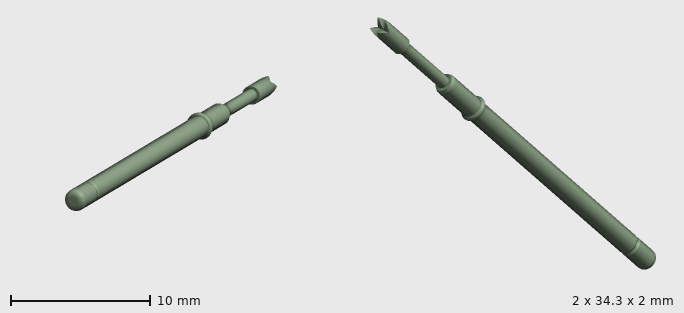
import cadquery as cq
import math

total_length = 34.3
tail_y = -total_length / 2
tip_y = total_length / 2

head_diameter = 1.37
head_length = 3.02
shaft_diameter = 0.95
crown_depth = 0.72

barrel_diameter = 1.6
barrel_length = 26.0
mouth_chamfer_length = 0.27
mouth_chamfer_depth = 0.1
tail_fillet = 0.45

ring_diameter = 2.0
ring_width = 0.48
ring_from_tip = 11.85

crimp_from_tail = 2.55
crimp_width = 0.4
crimp_depth = 0.15

barrel_radius = barrel_diameter / 2
mouth_y = tail_y + barrel_length
head_y = tip_y - head_length


def rod(diameter, start_y, end_y):
    """Round bar on the Y axis."""
    bar = cq.Workplane("XZ", origin=(0, start_y, 0)).circle(diameter / 2)
    return bar.extrude(start_y - end_y)


def make_barrel():
    """Tube body with a chamfered mouth, a rounded tail and a V-shaped crimp."""
    crimp_y = tail_y + crimp_from_tail
    fillet_middle = tail_fillet * (1 - math.sqrt(0.5))
    profile = (
        cq.Workplane("XY")
        .moveTo(0, tail_y)
        .lineTo(barrel_radius - tail_fillet, tail_y)
        .threePointArc(
            (barrel_radius - fillet_middle, tail_y + fillet_middle),
            (barrel_radius, tail_y + tail_fillet),
        )
        .lineTo(barrel_radius, crimp_y - crimp_width / 2)
        .lineTo(barrel_radius - crimp_depth, crimp_y)
        .lineTo(barrel_radius, crimp_y + crimp_width / 2)
        .lineTo(barrel_radius, mouth_y - mouth_chamfer_length)
        .lineTo(barrel_radius - mouth_chamfer_depth, mouth_y)
        .lineTo(0, mouth_y)
        .close()
    )
    return profile.revolve(360, (0, 0, 0), (0, 1, 0))


def make_ring():
    """Press ring bulging from the barrel in a round arc."""
    ring_front_y = tip_y - ring_from_tip - ring_width
    ring_back_y = tip_y - ring_from_tip
    profile = (
        cq.Workplane("XY")
        .moveTo(0, ring_front_y)
        .lineTo(barrel_radius, ring_front_y)
        .threePointArc(
            (ring_diameter / 2, (ring_front_y + ring_back_y) / 2),
            (barrel_radius, ring_back_y),
        )
        .lineTo(0, ring_back_y)
        .close()
    )
    return profile.revolve(360, (0, 0, 0), (0, 1, 0))


def crown_groove(angle):
    """V groove across the tip; its sides meet the four tooth points."""
    half_width = head_diameter / 2 * math.sin(math.radians(45))
    groove = (
        cq.Workplane("XY")
        .moveTo(-half_width, tip_y)
        .lineTo(0, tip_y - crown_depth)
        .lineTo(half_width, tip_y)
        .close()
        .extrude(head_diameter, both=True)
    )
    return groove.rotate((0, 0, 0), (0, 1, 0), angle)


def make_plunger():
    """Thin shaft carrying a head with four pointed teeth on the X and Z axes."""
    head = rod(head_diameter, head_y, tip_y)
    for angle in (45, -45):
        head = head.cut(crown_groove(angle))
    return rod(shaft_diameter, mouth_y, head_y).union(head)


result = make_barrel().union(make_ring()).union(make_plunger())